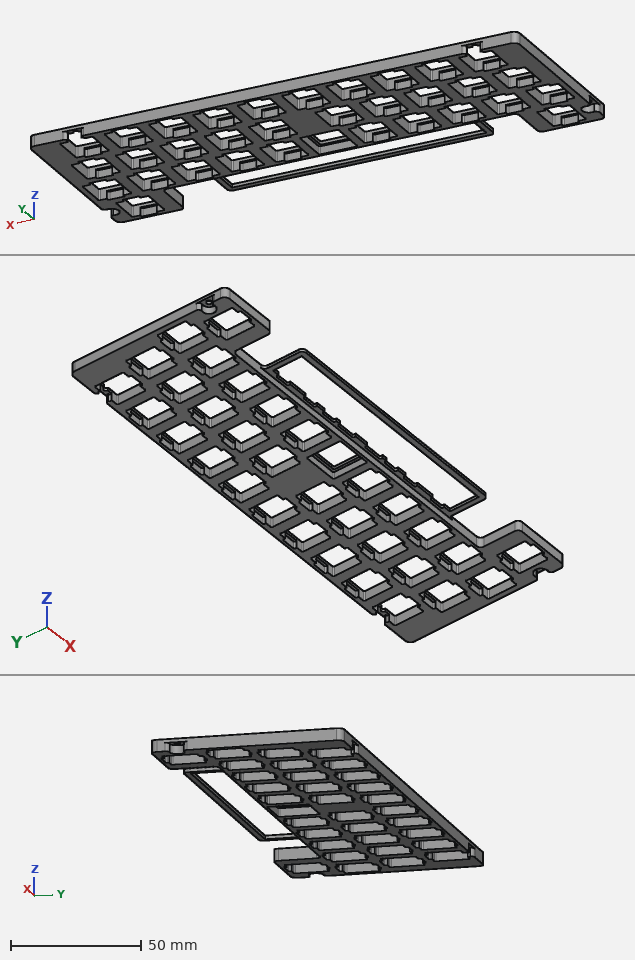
import cadquery as cq
import math

LENGTH = 209.8
DEPTH = 76.4
THICKNESS = 4.8
SKIN = 1.5
BODY = THICKNESS - SKIN
CORNER = 2.5

COLUMNS = 11
GRID_INSET = 0.13
GRID_RISE = 0.1
PITCH = (LENGTH - 2 * GRID_INSET) / COLUMNS
KEY_MARGIN = 2.5
SWITCH = PITCH - 2 * KEY_MARGIN
SWITCH_CORNER = 0.5

CENTRE_ROW = 1
CENTRE_KEY = COLUMNS / 2
ROWS = (
    [0.75, COLUMNS - 0.75],
    [column + 0.5 for column in range(COLUMNS)],
    [column + 0.75 for column in range(5)] + [column + 6.25 for column in range(5)],
    [column + 1 for column in range(10)],
)

CLIP_WIDTH = 7.1
CLIP_DEPTH = 1.3

BAR_START = 2.5
BAR_END = 8.5
BAR_CLIPS = (0.375, 0.5, 1, 1.625, 2.5)
GAP_CORNER = 2.0
GAP_BACK = GRID_RISE + PITCH

SCREW = 2.3
SCREW_INSET = 2.3
SIDE_SCREW_Y = 10.0
POCKET_RADIUS = 3.0
MOUTH_RADIUS = 1.57


def column_x(units):
    return GRID_INSET + units * PITCH


def row_y(row):
    return GRID_RISE + (row + 0.5) * PITCH


def block(x0, x1, y0, y1, z0, z1):
    return cq.Workplane("XY").box(x1 - x0, y1 - y0, z1 - z0, centered=False).translate((x0, y0, z0))


def rounded_block(x, y, width, depth, z0, z1):
    """Block centred on (x, y) with the small vertical corner radius of the openings."""
    sharp = block(x - width / 2, x + width / 2, y - depth / 2, y + depth / 2, z0, z1)
    return sharp.edges("|Z").fillet(SWITCH_CORNER)


def cylinder(x, y, radius, height):
    return cq.Workplane("XY").center(x, y).circle(radius).extrude(height)


def board():
    return block(0, LENGTH, 0, DEPTH, 0, THICKNESS).edges("|Z").fillet(CORNER)


def front_gap(start):
    """Cutter for a gap beside the space bar, rounded inside and flared at the front edge."""
    x0 = column_x(start)
    x1 = column_x(start + 1)
    gap = block(x0, x1, 0, GAP_BACK, 0, THICKNESS).edges("|Z and >Y").fillet(GAP_CORNER)
    flare = block(x0 - GAP_CORNER, x1 + GAP_CORNER, 0, GAP_CORNER, 0, THICKNESS)
    for x in (x0 - GAP_CORNER, x1 + GAP_CORNER):
        flare = flare.cut(cylinder(x, GAP_CORNER, GAP_CORNER, THICKNESS))
    return gap.union(flare)


def clip_notches(x, y, top):
    """Cutter that reaches past the front and back walls of a switch opening."""
    return rounded_block(x, y, CLIP_WIDTH, SWITCH + 2 * CLIP_DEPTH, 0, top)


def switch_opening(x, y):
    opening = rounded_block(x, y, SWITCH, SWITCH, 0, THICKNESS)
    return opening.union(clip_notches(x, y, BODY))


def centre_key_relief(x, y):
    """Cutter that widens the body layer all round the centre key."""
    side = SWITCH + 2 * CLIP_DEPTH
    return rounded_block(x, y, side, side, 0, BODY)


def space_bar_opening():
    """Cutter that leaves only a thin skin frame around the space bar."""
    x0 = column_x(BAR_START)
    x1 = column_x(BAR_END)
    y = row_y(0)
    front = y - SWITCH / 2
    back = y + SWITCH / 2
    relief = block(x0 - GAP_CORNER, x1 + GAP_CORNER, 0, GAP_BACK, 0, BODY)
    window = block(x0 + KEY_MARGIN, x1 - KEY_MARGIN, front, back, 0, THICKNESS)
    behind_front = block(x0, x1, front, GAP_BACK, 0, THICKNESS)
    cutter = relief.union(window)
    for side in (-1, 1):
        for units in BAR_CLIPS:
            notches = clip_notches(column_x(CENTRE_KEY + side * units), y, THICKNESS)
            cutter = cutter.union(notches.intersect(behind_front))
    return cutter


def screw_pocket(x, y, edge, turn):
    """Cutter for a screw hole and its pocket, whose mouth is `edge` away along -Y before turning."""
    reach = POCKET_RADIUS + MOUTH_RADIUS
    round_y = MOUTH_RADIUS - edge
    round_x = math.sqrt(reach ** 2 - round_y ** 2)
    mouth = block(-round_x, round_x, -edge, round_y, 0, BODY)
    for side in (-round_x, round_x):
        mouth = mouth.cut(cylinder(side, round_y, MOUTH_RADIUS, BODY))
    hole = cylinder(0, 0, SCREW / 2, THICKNESS)
    pocket = cylinder(0, 0, POCKET_RADIUS, BODY)
    cutter = hole.union(pocket).union(mouth)
    return cutter.rotate((0, 0, 0), (0, 0, 1), turn).translate((x, y, 0))


result = board()

for start in (BAR_START - 1, BAR_END):
    result = result.cut(front_gap(start))
result = result.cut(space_bar_opening())

for row, centres in enumerate(ROWS):
    for units in centres:
        result = result.cut(switch_opening(column_x(units), row_y(row)))
result = result.cut(centre_key_relief(column_x(CENTRE_KEY), row_y(CENTRE_ROW)))

side_edge = GRID_INSET + SCREW_INSET
result = result.cut(screw_pocket(side_edge, SIDE_SCREW_Y, side_edge, -90))
result = result.cut(screw_pocket(LENGTH - side_edge, SIDE_SCREW_Y, side_edge, 90))

back_row = len(ROWS) - 1
back_y = row_y(back_row) + SWITCH / 2
for units in (ROWS[back_row][0], ROWS[back_row][-1]):
    result = result.cut(screw_pocket(column_x(units), back_y, DEPTH - back_y, 180))